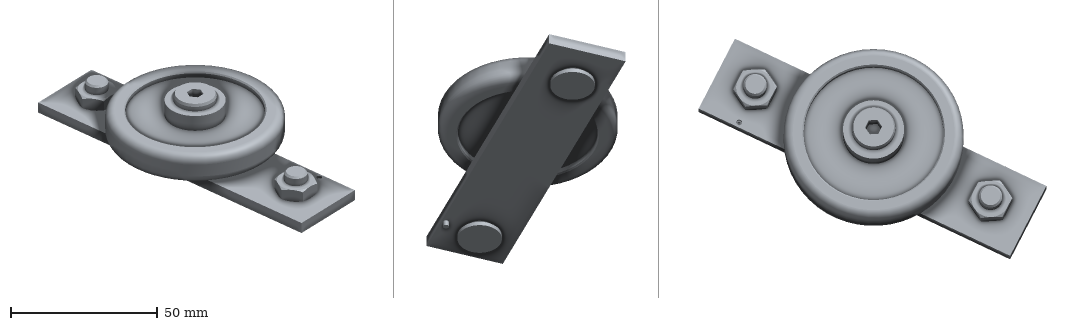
import cadquery as cq
import math


plate_length = 119.0
plate_width = 28.0
plate_thickness = 4.0

pin_diameter = 2.0
pin_length = 2.0
pin_edge_distance = 1.7
dimple_depth = 1.0
dimple_core_diameter = 1.1
dimple_core_depth = 1.7

fastener_spacing = 90.0
fastener_shift_x = -0.1
screw_diameter = 8.0
screw_head_diameter = 15.2
screw_head_rim = 1.4
screw_head_drop = 3.9
screw_tip_height = 12.4
screw_tip_diameter = 6.7
nut_across_flats = 13.0
nut_height = 4.8
nut_chamfer_angle = 30.0

wheel_shift_y = -0.6
wheel_diameter = 61.6
wheel_width = 11.0
wheel_edge_radius = 3.1
wheel_clearance = 4.3
recess_diameter = 48.0
recess_depth = 2.1
recess_chamfer = 0.5
hub_diameter = 21.0
hub_height = 19.0

axle_diameter = 10.0
axle_head_diameter = 14.9
axle_head_height = 2.7
axle_head_chamfer_width = 0.5
axle_head_chamfer_height = 1.0
socket_across_flats = 5.0
socket_depth = 4.8

fastener_positions = [(fastener_shift_x + side * fastener_spacing / 2, 0) for side in (-1, 1)]
wheel_center = (fastener_shift_x, wheel_shift_y)
pin_center = (fastener_positions[1][0], plate_width / 2 - pin_edge_distance)
hub_top = plate_thickness + hub_height


def cylinder(diameter, bottom, top, center=(0, 0)):
    """Vertical cylinder between two heights."""
    return cq.Workplane("XY", origin=(*center, bottom)).circle(diameter / 2).extrude(top - bottom)


def hexagon(across_flats, bottom, top):
    """Vertical hexagonal prism with two corners on the Y axis."""
    across_corners = across_flats / math.cos(math.radians(30))
    prism = cq.Workplane("XY").polygon(6, across_corners).extrude(top - bottom)
    return prism.rotate((0, 0, 0), (0, 0, 1), 90).translate((0, 0, bottom))


def make_screw(center):
    """Countersunk screw, head down, with a 45 degree head cone and a chamfered tip."""
    head_radius = screw_head_diameter / 2
    shank_radius = screw_diameter / 2
    tip_radius = screw_tip_diameter / 2
    rim_top = screw_head_rim - screw_head_drop
    profile = [
        (0, -screw_head_drop),
        (head_radius, -screw_head_drop),
        (head_radius, rim_top),
        (shank_radius, rim_top + head_radius - shank_radius),
        (shank_radius, screw_tip_height - (shank_radius - tip_radius)),
        (tip_radius, screw_tip_height),
        (0, screw_tip_height),
    ]
    screw = cq.Workplane("XZ").polyline(profile).close().revolve(360, (0, 0, 0), (0, 1, 0))
    return screw.translate((*center, 0))


def make_nut(center):
    """Hexagon nut resting on the plate, its corners chamfered at both ends."""
    corner_radius = nut_across_flats / 2 / math.cos(math.radians(30))
    face_radius = nut_across_flats / 2
    chamfer_drop = (corner_radius - face_radius) * math.tan(math.radians(nut_chamfer_angle))
    corner_envelope = (
        cq.Workplane("XZ")
        .polyline([
            (0, 0),
            (face_radius, 0),
            (corner_radius, chamfer_drop),
            (corner_radius, nut_height - chamfer_drop),
            (face_radius, nut_height),
            (0, nut_height),
        ])
        .close()
        .revolve(360, (0, 0, 0), (0, 1, 0))
    )
    nut = hexagon(nut_across_flats, 0, nut_height).intersect(corner_envelope)
    nut = nut.cut(cylinder(screw_diameter, 0, nut_height))
    return nut.translate((*center, plate_thickness))


def make_plate(screws):
    """Plate with countersunk screw holes, the axle hole and the half-sheared pin."""
    plate = cq.Workplane("XY").box(plate_length, plate_width, plate_thickness, centered=(True, True, False))
    for screw in screws:
        plate = plate.cut(screw)
    plate = plate.cut(cylinder(axle_diameter, 0, plate_thickness, wheel_center))

    plate = plate.union(cylinder(pin_diameter, -pin_length, plate_thickness / 2, pin_center))
    for diameter, depth in ((pin_diameter, dimple_depth), (dimple_core_diameter, dimple_core_depth)):
        plate = plate.cut(cylinder(diameter, plate_thickness - depth, plate_thickness, pin_center))
    return plate


def make_wheel():
    """Wheel with rounded edges, a chamfered recess in each side face and a bored hub."""
    bottom = plate_thickness + wheel_clearance
    top = bottom + wheel_width
    wheel = cylinder(wheel_diameter, bottom, top).edges().fillet(wheel_edge_radius)

    mouth_diameter = recess_diameter + 2 * recess_chamfer
    for face, inward in ((bottom, 1), (top, -1)):
        floor = face + inward * recess_depth
        wheel = wheel.cut(cylinder(recess_diameter, min(face, floor), max(face, floor)))
        chamfer = (
            cq.Workplane("XY", origin=(0, 0, face))
            .circle(mouth_diameter / 2)
            .workplane(offset=inward * recess_chamfer)
            .circle(recess_diameter / 2)
            .loft()
        )
        wheel = wheel.cut(chamfer)

    wheel = wheel.union(cylinder(hub_diameter, plate_thickness, hub_top))
    wheel = wheel.cut(cylinder(axle_diameter, plate_thickness, hub_top))
    return wheel.translate((*wheel_center, 0))


def make_axle():
    """Axle bolt ending flush with the plate underside, with a hexagon socket in its head."""
    head_top = hub_top + axle_head_height
    head = cylinder(axle_head_diameter, hub_top, head_top)
    head = head.faces(">Z").edges().chamfer(axle_head_chamfer_height, axle_head_chamfer_width)
    axle = head.union(cylinder(axle_diameter, 0, hub_top))
    axle = axle.cut(hexagon(socket_across_flats, head_top - socket_depth, head_top))
    return axle.translate((*wheel_center, 0))


screws = [make_screw(position) for position in fastener_positions]
nuts = [make_nut(position) for position in fastener_positions]
plate = make_plate(screws)
wheel = make_wheel()
axle = make_axle()

result = cq.Compound.makeCompound([
    plate.val(),
    wheel.val(),
    axle.val(),
    *[screw.val() for screw in screws],
    *[nut.val() for nut in nuts],
])